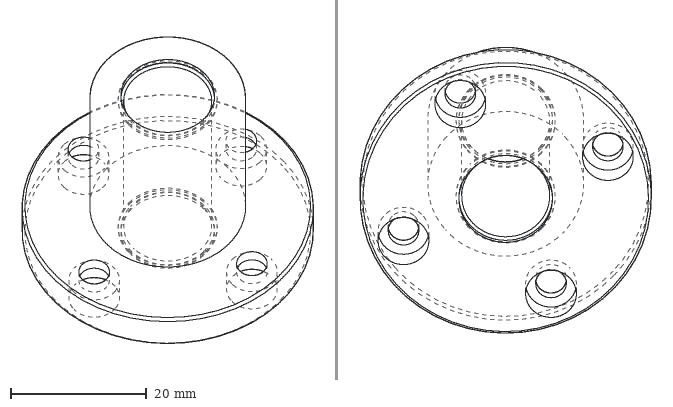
import cadquery as cq

flange_diameter = 43.0
flange_thickness = 6.0
flange_chamfer = 0.45

total_height = 32.0
sleeve_diameter = 23.0
sleeve_rim_fillet = 0.6

bore_diameter = 13.0
recess_diameter = 13.8
recess_depth = 1.2
groove_diameter = 14.6
groove_width = 0.4

hole_count = 4
hole_circle_diameter = 33.0
hole_diameter = 4.5
counterbore_diameter = 7.5
counterbore_depth = 4.1


def cylinder(diameter, bottom, height):
    """Upright cylinder on the central axis."""
    return cq.Workplane("XY").workplane(offset=bottom).circle(diameter / 2).extrude(height)


def make_body():
    flange = cylinder(flange_diameter, 0, flange_thickness)
    flange = flange.edges().chamfer(flange_chamfer)
    sleeve = cylinder(sleeve_diameter, 0, total_height)
    sleeve = sleeve.faces(">Z").edges().fillet(sleeve_rim_fillet)
    return flange.union(sleeve)


def cut_bore(body):
    body = body.cut(cylinder(bore_diameter, 0, total_height))
    for bottom in (0, total_height - recess_depth):
        body = body.cut(cylinder(recess_diameter, bottom, recess_depth))
    for bottom in (recess_depth - groove_width, total_height - recess_depth):
        body = body.cut(cylinder(groove_diameter, bottom, groove_width))
    return body


def cut_mounting_holes(body):
    return (
        body.faces("<Z")
        .workplane(origin=(0, 0, 0))
        .polarArray(hole_circle_diameter / 2, 0, 360, hole_count)
        .cboreHole(hole_diameter, counterbore_diameter, counterbore_depth)
    )


result = cut_mounting_holes(cut_bore(make_body()))